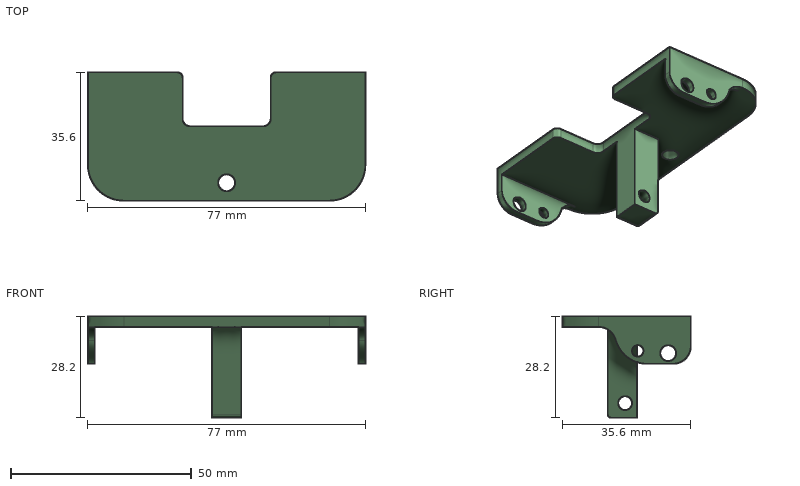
import cadquery as cq
import math

length = 77.0
depth = 35.65
plate_thickness = 3.0
front_corner_radius = 10.0
plate_hole_diameter = 4.6
plate_hole_from_front = 5.0

notch_width = 24.3
notch_depth = 14.9
notch_inner_radius = 2.0
notch_mouth_radius = 1.55

ear_thickness = 2.0
ear_height = 13.25
ear_rear_radius = 5.0
ear_front_radius = 9.0
ear_blend_radius = 5.0
ear_holes = [(6.3, 10.25, 4.3), (14.8, 9.6, 3.15)]

total_height = 28.2
post_width = 8.2
post_depth = 8.2
post_edge_radius = 1.0
post_hole_diameter = 3.8
post_hole_from_rear = 3.3
post_hole_from_bottom = 4.1

notch_floor_y = depth - notch_depth


def make_plate():
    plate = cq.Workplane("XY").box(length, depth, plate_thickness, centered=(True, False, False))
    plate = plate.translate((0, 0, -plate_thickness))
    plate = plate.edges("|Z and <Y").fillet(front_corner_radius)
    notch = (
        cq.Workplane("XY")
        .box(notch_width, notch_depth, plate_thickness, centered=(True, False, False))
        .translate((0, notch_floor_y, -plate_thickness))
        .edges("|Z and <Y")
        .fillet(notch_inner_radius)
    )
    plate = plate.cut(notch)
    margin = notch_mouth_radius
    mouth_corners = cq.selectors.BoxSelector(
        (-notch_width / 2 - margin, depth - margin, -plate_thickness - margin),
        (notch_width / 2 + margin, depth + margin, margin),
    )
    plate = plate.edges("|Z").edges(mouth_corners).fillet(notch_mouth_radius)
    hole = (
        cq.Workplane("XY")
        .center(0, plate_hole_from_front)
        .circle(plate_hole_diameter / 2)
        .extrude(-plate_thickness)
    )
    return plate.cut(hole)


def point_on_arc(centre_y, centre_z, radius, angle):
    return (centre_y + radius * math.cos(angle), centre_z + radius * math.sin(angle))


def make_ear(inner_x):
    """Ear reaching from inner_x toward +X, with an S-curve of two tangent arcs up to the plate."""
    bottom_z = -ear_height
    front_centre_z = bottom_z + ear_front_radius
    blend_centre_y = front_corner_radius
    blend_centre_z = -plate_thickness - ear_blend_radius

    centre_distance = ear_front_radius + ear_blend_radius
    rise = front_centre_z - blend_centre_z
    run = math.sqrt(centre_distance**2 - rise**2)
    front_centre_y = blend_centre_y + run
    tangent_angle = math.atan2(rise, run)

    def on_front_arc(angle):
        return point_on_arc(front_centre_y, front_centre_z, ear_front_radius, angle)

    def on_blend_arc(angle):
        return point_on_arc(blend_centre_y, blend_centre_z, ear_blend_radius, angle)

    top_angle = math.pi / 2
    bottom_angle = 1.5 * math.pi
    front_start_angle = tangent_angle + math.pi
    front_mid_angle = (front_start_angle + bottom_angle) / 2
    blend_mid_angle = (top_angle + tangent_angle) / 2

    ear = (
        cq.Workplane("YZ", origin=(inner_x, 0, 0))
        .moveTo(depth, 0)
        .lineTo(blend_centre_y, 0)
        .lineTo(*on_blend_arc(top_angle))
        .threePointArc(on_blend_arc(blend_mid_angle), on_blend_arc(tangent_angle))
        .threePointArc(on_front_arc(front_mid_angle), on_front_arc(bottom_angle))
        .lineTo(depth, bottom_z)
        .close()
        .extrude(ear_thickness)
        .edges("|X and >Y and <Z")
        .fillet(ear_rear_radius)
    )
    for from_rear, below_top, diameter in ear_holes:
        hole = (
            cq.Workplane("YZ", origin=(inner_x, 0, 0))
            .center(depth - from_rear, -below_top)
            .circle(diameter / 2)
            .extrude(ear_thickness)
        )
        ear = ear.cut(hole)
    return ear


def make_post():
    post = (
        cq.Workplane("XY")
        .box(post_width, post_depth, total_height, centered=(True, False, False))
        .translate((0, notch_floor_y - post_depth, -total_height))
        .edges("|X and <Y and <Z")
        .fillet(post_edge_radius)
    )
    hole = (
        cq.Workplane("YZ")
        .center(notch_floor_y - post_hole_from_rear, post_hole_from_bottom - total_height)
        .circle(post_hole_diameter / 2)
        .extrude(post_width / 2, both=True)
    )
    return post.cut(hole)


result = make_plate().union(make_post())
for ear_x in (-length / 2, length / 2 - ear_thickness):
    result = result.union(make_ear(ear_x))